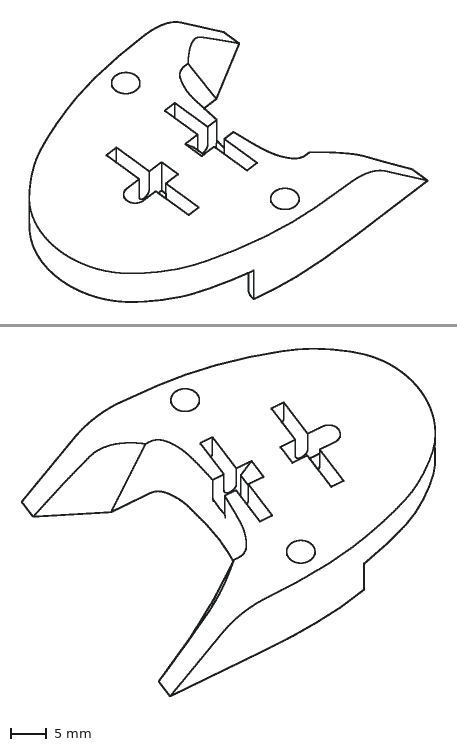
import cadquery as cq
import math

width = 40.0
length = 53.15
height = 12.0
half_width = width / 2
margin = 1.05

straight_start = 38.65
side_points = [(19.85, 31.95), (19.35, 26.55), (18.15, 20.2), (16.0, 13.35), (14.5, 9.95), (12.0, 6.2)]
nose_points = [(8.9, 3.0), (6.15, 1.35)]

blend_start = 37.25
blend_radius = 10.1
slope_angle = math.radians(45)

mouth_half_width = 11.9
mouth_bottom = 32.95
mouth_points = [(11.3, 35.5), (10.15, 34.65), (7.75, 33.75), (5.4, 33.4)]
leg_tip_inside = 16.9
bevel_low = (43.45, length)
bevel_high = (37.75, 43.1)

plate_thickness = 6.0
recess_edge = 20.2
recess_half_width = 15.6
recess_depth = 5.05
wall_tip_radius = 2.5

hole_diameter = 4.0
hole_x = 15.6
hole_y = 29.0
slot_width = 3.25
front_slot_end = 13.35
front_slot_back = 21.9
groove_length = 16.1
groove_width = 2.0
groove_depth = 4.8
front_groove_y = 18.45
rear_groove_y = 30.15
rear_slot_top_length = 7.0
rear_slot_bottom_length = 3.45
rear_slot_taper_depth = 2.1
corner_opening_width = 0.6
corner_opening_length = 1.6


def mirrored(points):
    return [(-x, y) for x, y in reversed(points)]


def make_body():
    right_half = side_points + nose_points
    outline = right_half + [(0, 0)] + mirrored(right_half) + [(-half_width, straight_start)]
    return (
        cq.Workplane("XY")
        .moveTo(-half_width, length)
        .lineTo(half_width, length)
        .lineTo(half_width, straight_start)
        .spline(outline, tangents=[(0, -1), (0, 1)], includeCurrent=True)
        .close()
        .extrude(height)
    )


def make_leg_slope_cutter():
    def on_blend(angle):
        drop = blend_radius * (1 - math.cos(angle))
        return blend_start + blend_radius * math.sin(angle), height - drop

    return (
        cq.Workplane("YZ")
        .moveTo(blend_start, height)
        .threePointArc(on_blend(slope_angle / 2), on_blend(slope_angle))
        .lineTo(length, 0)
        .lineTo(length + margin, 0)
        .lineTo(length + margin, height + margin)
        .lineTo(blend_start, height + margin)
        .close()
        .extrude(half_width + margin, both=True)
    )


def make_mouth_cutter():
    curve = mouth_points + [(0, mouth_bottom)] + mirrored(mouth_points) + [(-mouth_half_width, blend_start)]
    return (
        cq.Workplane("XY")
        .moveTo(-mouth_half_width, length)
        .lineTo(mouth_half_width, length)
        .lineTo(mouth_half_width, blend_start)
        .spline(curve, includeCurrent=True)
        .close()
        .extrude(height)
    )


def make_leg_bevel_cutter():
    """Twisted inner faces of both legs, widening the mouth towards its rear and top."""
    def section(start, end):
        right_side = [
            (mouth_half_width, start),
            (leg_tip_inside, end),
            (leg_tip_inside, length + margin),
        ]
        return right_side + mirrored(right_side)

    return (
        cq.Workplane("XY")
        .polyline(section(*bevel_low)).close()
        .workplane(offset=height)
        .polyline(section(*bevel_high)).close()
        .loft(ruled=True)
    )


def make_recess_cutter():
    wall_start = recess_edge + wall_tip_radius
    tip_x = recess_half_width + wall_tip_radius
    arc_x = tip_x - wall_tip_radius * math.cos(math.radians(45))
    arc_y = wall_start - wall_tip_radius * math.sin(math.radians(45))
    lower = (
        cq.Workplane("XY")
        .moveTo(-half_width, -margin)
        .lineTo(half_width, -margin)
        .lineTo(half_width, recess_edge)
        .lineTo(tip_x, recess_edge)
        .threePointArc((arc_x, arc_y), (recess_half_width, wall_start))
        .lineTo(-recess_half_width, wall_start)
        .threePointArc((-arc_x, arc_y), (-tip_x, recess_edge))
        .lineTo(-half_width, recess_edge)
        .close()
        .extrude(height - plate_thickness)
    )
    arch = (
        cq.Workplane("XY")
        .center(0, wall_start)
        .ellipse(recess_half_width, recess_depth)
        .extrude(height - plate_thickness)
    )
    return lower.union(arch)


def make_holes():
    return (
        cq.Workplane("XY")
        .pushPoints([(-hole_x, hole_y), (hole_x, hole_y)])
        .circle(hole_diameter / 2)
        .extrude(height)
    )


def make_groove(y):
    """Cross groove with a round floor."""
    radius = groove_width / 2
    floor_start = height - groove_depth + radius
    return (
        cq.Workplane("YZ")
        .moveTo(y - radius, height)
        .lineTo(y - radius, floor_start)
        .threePointArc((y, height - groove_depth), (y + radius, floor_start))
        .lineTo(y + radius, height)
        .close()
        .extrude(groove_length / 2, both=True)
    )


def make_front_slot():
    radius = slot_width / 2
    return (
        cq.Workplane("XY")
        .moveTo(-radius, front_slot_back)
        .lineTo(radius, front_slot_back)
        .lineTo(radius, front_slot_end + radius)
        .threePointArc((0, front_slot_end), (-radius, front_slot_end + radius))
        .close()
        .extrude(height)
    )


def make_rear_slot():
    """Through slot: the front end slopes in then drops straight, the rear end leans in all the way."""
    top = rear_slot_top_length / 2
    bottom = rear_slot_bottom_length / 2
    taper_end = height - rear_slot_taper_depth
    return (
        cq.Workplane("YZ")
        .moveTo(rear_groove_y - top, height)
        .lineTo(rear_groove_y - bottom, taper_end)
        .lineTo(rear_groove_y - bottom, 0)
        .lineTo(rear_groove_y + bottom, 0)
        .lineTo(rear_groove_y + top, height)
        .close()
        .extrude(slot_width / 2, both=True)
    )


def make_corner_openings():
    """Small triangular openings through the floor at the ends of the front groove."""
    end = groove_length / 2
    back = front_groove_y + groove_width / 2
    corner = [(end, back), (end - corner_opening_width, back), (end, back - corner_opening_length)]
    right = cq.Workplane("XY").polyline(corner).close().extrude(height)
    return right.union(right.mirror("YZ"))


result = (
    make_body()
    .cut(make_leg_slope_cutter())
    .cut(make_mouth_cutter())
    .cut(make_leg_bevel_cutter())
    .cut(make_recess_cutter())
    .cut(make_holes())
    .cut(make_groove(front_groove_y))
    .cut(make_groove(rear_groove_y))
    .cut(make_front_slot())
    .cut(make_rear_slot())
    .cut(make_corner_openings())
)